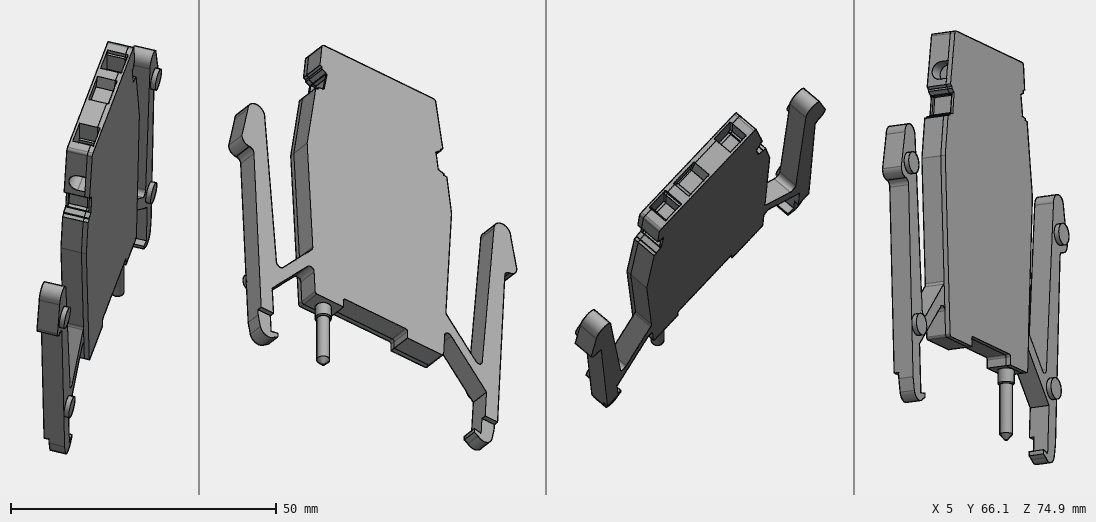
import cadquery as cq
import math

TOTAL_THICKNESS = 5.0
HOUSING_THICKNESS = 4.05
COVER_THICKNESS = TOTAL_THICKNESS - HOUSING_THICKNESS
FOOT_STEP_X = 1.0
FOOT_STEP_Z = 5.25

CASE_TOP = 74.9
CASE_BOTTOM = 14.8
HALF_WIDTH_MAX = 17.4
WIDEST_Z = 49.65
HALF_WIDTH_BOTTOM = 15.4
TOP_CORNER_RADIUS = 0.6
BOTTOM_CORNER_RADIUS = 0.45
TOP_PLUS_Y = 13.8
TOP_MINUS_Y = -13.5

BASE_RECESS_Y = (-6.75, 8.6)
BASE_RECESS_Z = 16.85

NOTCH_PLUS_Y = [(14.3, 69.7), (13.8, 69.5), (13.8, 68.95), (12.8, 68.5),
                (13.5, 64.4), (14.7, 64.2), (14.7, 63.9), (15.3, 63.8)]
NOTCH_MINUS_Y = [(-15.3, 64.0), (-14.75, 63.65), (-14.75, 63.3), (-13.85, 62.7),
                 (-14.4, 58.5), (-15.5, 58.2), (-15.5, 57.9), (-16.25, 57.7)]
NOTCH_FLOOR_TOP = 3
NOTCH_FLOOR_BOTTOM = 4

WINDOW_X = (0.45, 4.6)
WINDOW_DEPTH = 0.8
RELIEF_DEPTH = 0.2
WINDOW_MARGIN = 0.2

HALF_SPAN = 33.055
HEAD_TIP_RADIUS = 2.0
HEAD_TIP_Y = 29.6
HEAD_TIP_Z = 51.0
HEAD_HEEL_RADIUS = 1.8
HEAD_HEEL_Z = 43.95
HEAD_UNDERSIDE_Z = HEAD_HEEL_Z - HEAD_HEEL_RADIUS
LEG_OUTER_TOP_Y = 30.2
HEEL_FILLET_RADIUS = 1.1
FOOT_RADIUS = 2.0
FOOT_Y = 25.9
FOOT_ARC_START = math.radians(-15)
FOOT_BEND = (28.4, 4.05)
HOOK_TIP = [(23.6, 1.1), (23.6, 1.95)]
HOOK_CORNER = (25.2, 1.65)
LEG_INNER_ARM = (25.75, 11.1)
LEG_INNER_BEND = (24.55, 15.7)
ARM_TOP_ROOT_Z = 25.15
ARM_UNDERSIDE_ROOT_Z = 21.9
ARM_ROOT_INSET = 2.25
ARM_FILLET = 0.9

PAD_DIAMETER = 4.1
PAD_CENTERS = [(29.9, 45.3), (26.8, 14.5)]

CAVITY_X = (0.5, 4.6)
CAVITY_DEPTH = 5.25
CAVITY_LEDGE = 0.45
PLUS_CAVITY_Y = (7.0, 11.5)
PLUS_LEDGE_DEPTH = 0.9
MINUS_CAVITY_Y = (-11.3, -6.8)
MINUS_LEDGE_DEPTH = 4.5
SOCKET_X = (0.5, 4.35)
SOCKET_Y = (-0.8, 4.95)
SOCKET_DEPTH = 1.95
SOCKET_TAPER = 1.05
ENTRY_X = 0.8
ENTRY_Z = 67.1
ENTRY_HEIGHT = 3.6
ENTRY_FLOOR_Y = -11.6

PIN_X = TOTAL_THICKNESS / 2
PIN_Y = 11.5
COLLAR_DIAMETER = 3.1
COLLAR_BOTTOM_Z = 12.0
COLLAR_CHAMFER = 0.2
SHANK_DIAMETER = 2.5
SHANK_BOTTOM_Z = 2.3
TIP_DIAMETER = 0.45
TIP_Z = 1.2


def plate(outline, x_start, x_end):
    """Solid from a closed outline of (y, z) points, spanning x_start to x_end."""
    return cq.Workplane("YZ", origin=(x_start, 0, 0)).polyline(outline).close().extrude(x_end - x_start)


def round_edge(body, point, radius, x_middle):
    """Fillet the edge along X that passes nearest to the given (y, z) point."""
    target = (x_middle, point[0], point[1])
    return body.edges("|X").edges(cq.selectors.NearestToPointSelector(target)).fillet(radius)


def case_half_width(z):
    """Half width of the straight case flank below its widest point."""
    slope = (HALF_WIDTH_MAX - HALF_WIDTH_BOTTOM) / (WIDEST_Z - CASE_BOTTOM)
    return HALF_WIDTH_BOTTOM + slope * (z - CASE_BOTTOM)


def case_plate(x_start, x_end):
    """One slice of the case without legs."""
    recess_minus, recess_plus = BASE_RECESS_Y
    outline = [
        (TOP_PLUS_Y, CASE_TOP),
        *NOTCH_PLUS_Y,
        (HALF_WIDTH_MAX, WIDEST_Z),
        (HALF_WIDTH_BOTTOM, CASE_BOTTOM),
        (recess_plus, CASE_BOTTOM),
        (recess_plus, BASE_RECESS_Z),
        (recess_minus, BASE_RECESS_Z),
        (recess_minus, CASE_BOTTOM),
        (-HALF_WIDTH_BOTTOM, CASE_BOTTOM),
        (-HALF_WIDTH_MAX, WIDEST_Z),
        *reversed(NOTCH_MINUS_Y),
        (TOP_MINUS_Y, CASE_TOP),
    ]
    body = plate(outline, x_start, x_end)
    x_middle = (x_start + x_end) / 2
    for y in (TOP_PLUS_Y, TOP_MINUS_Y):
        body = round_edge(body, (y, CASE_TOP), TOP_CORNER_RADIUS, x_middle)
    for y in (HALF_WIDTH_BOTTOM, -HALF_WIDTH_BOTTOM):
        body = round_edge(body, (y, CASE_BOTTOM), BOTTOM_CORNER_RADIUS, x_middle)
    for y in BASE_RECESS_Y:
        body = round_edge(body, (y, BASE_RECESS_Z), BOTTOM_CORNER_RADIUS, x_middle)
    return body


def leg():
    """The +Y leg with its head, hooked foot and the arm that reaches into the case."""
    diagonal = math.sqrt(0.5)
    heel_y = HALF_SPAN - HEAD_HEEL_RADIUS
    heel_diagonal = HEAD_HEEL_RADIUS * diagonal
    foot_diagonal = FOOT_RADIUS * diagonal
    fillet_sag = HEEL_FILLET_RADIUS * (1 - diagonal)
    foot_start_y = FOOT_Y + FOOT_RADIUS * math.cos(FOOT_ARC_START)
    foot_start_z = FOOT_RADIUS + FOOT_RADIUS * math.sin(FOOT_ARC_START)
    top_root_y = case_half_width(ARM_TOP_ROOT_Z)
    underside_root_y = case_half_width(ARM_UNDERSIDE_ROOT_Z)
    buried_y = underside_root_y - ARM_ROOT_INSET
    body = (
        cq.Workplane("YZ")
        .moveTo(HEAD_TIP_Y - HEAD_TIP_RADIUS, HEAD_TIP_Z)
        .threePointArc((HEAD_TIP_Y, HEAD_TIP_Z + HEAD_TIP_RADIUS), (HEAD_TIP_Y + HEAD_TIP_RADIUS, HEAD_TIP_Z))
        .lineTo(HALF_SPAN, HEAD_HEEL_Z)
        .threePointArc((heel_y + heel_diagonal, HEAD_HEEL_Z - heel_diagonal), (heel_y, HEAD_UNDERSIDE_Z))
        .lineTo(LEG_OUTER_TOP_Y + HEEL_FILLET_RADIUS, HEAD_UNDERSIDE_Z)
        .threePointArc(
            (LEG_OUTER_TOP_Y + fillet_sag, HEAD_UNDERSIDE_Z - fillet_sag),
            (LEG_OUTER_TOP_Y, HEAD_UNDERSIDE_Z - HEEL_FILLET_RADIUS),
        )
        .lineTo(*FOOT_BEND)
        .lineTo(foot_start_y, foot_start_z)
        .threePointArc((FOOT_Y, 0), (FOOT_Y - foot_diagonal, FOOT_RADIUS - foot_diagonal))
        .lineTo(*HOOK_TIP[0])
        .lineTo(*HOOK_TIP[1])
        .lineTo(*HOOK_CORNER)
        .lineTo(*LEG_INNER_ARM)
        .lineTo(underside_root_y, ARM_UNDERSIDE_ROOT_Z)
        .lineTo(buried_y, ARM_UNDERSIDE_ROOT_Z)
        .lineTo(buried_y, ARM_TOP_ROOT_Z)
        .lineTo(top_root_y, ARM_TOP_ROOT_Z)
        .lineTo(*LEG_INNER_BEND)
        .close()
        .extrude(HOUSING_THICKNESS)
    )
    body = round_edge(body, LEG_INNER_BEND, ARM_FILLET, HOUSING_THICKNESS / 2)
    foot_relief = cq.Workplane("XY").box(FOOT_STEP_X, HALF_SPAN, FOOT_STEP_Z, centered=False)
    pads = (
        cq.Workplane("YZ", origin=(HOUSING_THICKNESS, 0, 0))
        .pushPoints(PAD_CENTERS)
        .circle(PAD_DIAMETER / 2)
        .extrude(COVER_THICKNESS)
    )
    return body.cut(foot_relief).union(pads)


def cavity(y_range, ledge_depth):
    """Straight-walled cavity, open at the top, with a ledge across each end."""
    y_low, y_high = y_range
    ledge_z = CASE_TOP - ledge_depth
    floor_z = CASE_TOP - CAVITY_DEPTH
    outline = [
        (y_low, CASE_TOP),
        (y_high, CASE_TOP),
        (y_high, ledge_z),
        (y_high - CAVITY_LEDGE, ledge_z),
        (y_high - CAVITY_LEDGE, floor_z),
        (y_low + CAVITY_LEDGE, floor_z),
        (y_low + CAVITY_LEDGE, ledge_z),
        (y_low, ledge_z),
    ]
    return plate(outline, *CAVITY_X)


def socket():
    """Shallow pocket, open at the top, with end walls that lean inward toward its floor."""
    y_low, y_high = SOCKET_Y
    floor_z = CASE_TOP - SOCKET_DEPTH
    outline = [
        (y_low, CASE_TOP),
        (y_high, CASE_TOP),
        (y_high - SOCKET_TAPER, floor_z),
        (y_low + SOCKET_TAPER, floor_z),
    ]
    return plate(outline, *SOCKET_X)


def notch_recess(notch, x_start, x_end, depth):
    """Recess sunk into a notch floor, parallel to that floor."""
    y_top, z_top = notch[NOTCH_FLOOR_TOP]
    y_bottom, z_bottom = notch[NOTCH_FLOOR_BOTTOM]
    outward = math.copysign(depth, y_top)
    z_high = z_top - WINDOW_MARGIN
    z_low = z_bottom + WINDOW_MARGIN
    outline = [
        (y_top - outward, z_high),
        (y_top + outward, z_high),
        (y_bottom + outward, z_low),
        (y_bottom - outward, z_low),
    ]
    return plate(outline, x_start, x_end)


def shared_openings():
    """Cavities, socket and notch windows that reach across the parting plane."""
    window_start, window_end = WINDOW_X
    openings = [
        cavity(PLUS_CAVITY_Y, PLUS_LEDGE_DEPTH),
        cavity(MINUS_CAVITY_Y, MINUS_LEDGE_DEPTH),
        socket(),
    ]
    for notch in (NOTCH_PLUS_Y, NOTCH_MINUS_Y):
        openings.append(notch_recess(notch, window_start, window_end, WINDOW_DEPTH))
        openings.append(notch_recess(notch, 0, window_start, RELIEF_DEPTH))
    return openings


def wire_entry():
    """Blind entry from the -Y side: rounded toward -X and closed by the cover at +X."""
    radius = ENTRY_HEIGHT / 2
    return (
        cq.Workplane("XZ", origin=(0, ENTRY_FLOOR_Y, 0))
        .moveTo(HOUSING_THICKNESS, ENTRY_Z + radius)
        .lineTo(ENTRY_X + radius, ENTRY_Z + radius)
        .threePointArc((ENTRY_X, ENTRY_Z), (ENTRY_X + radius, ENTRY_Z - radius))
        .lineTo(HOUSING_THICKNESS, ENTRY_Z - radius)
        .close()
        .extrude(HALF_WIDTH_MAX)
    )


def make_housing():
    plus_leg = leg()
    body = case_plate(0, HOUSING_THICKNESS)
    body = body.union(plus_leg).union(plus_leg.mirror("XZ"))
    for side in (1, -1):
        for root_z in (ARM_TOP_ROOT_Z, ARM_UNDERSIDE_ROOT_Z):
            root = (side * case_half_width(root_z), root_z)
            body = round_edge(body, root, ARM_FILLET, HOUSING_THICKNESS / 2)
    for opening in shared_openings():
        body = body.cut(opening)
    return body.cut(wire_entry())


def make_cover():
    body = case_plate(HOUSING_THICKNESS, TOTAL_THICKNESS)
    for opening in shared_openings():
        body = body.cut(opening)
    return body


def make_pin():
    """Contact pin standing under the +Y bottom pad: collar, shank and tapered tip."""
    collar_radius = COLLAR_DIAMETER / 2
    shank_radius = SHANK_DIAMETER / 2
    half_profile = [
        (0, CASE_BOTTOM),
        (collar_radius, CASE_BOTTOM),
        (collar_radius, COLLAR_BOTTOM_Z + COLLAR_CHAMFER),
        (collar_radius - COLLAR_CHAMFER, COLLAR_BOTTOM_Z),
        (shank_radius, COLLAR_BOTTOM_Z),
        (shank_radius, SHANK_BOTTOM_Z),
        (TIP_DIAMETER / 2, TIP_Z),
        (0, TIP_Z),
    ]
    pin_profile = cq.Workplane("XZ", origin=(PIN_X, PIN_Y, 0)).polyline(half_profile).close()
    return pin_profile.revolve(360, (0, 0, 0), (0, 1, 0))


housing = make_housing()
cover = make_cover()
pin = make_pin()

result = cq.Compound.makeCompound([housing.val(), cover.val(), pin.val()])